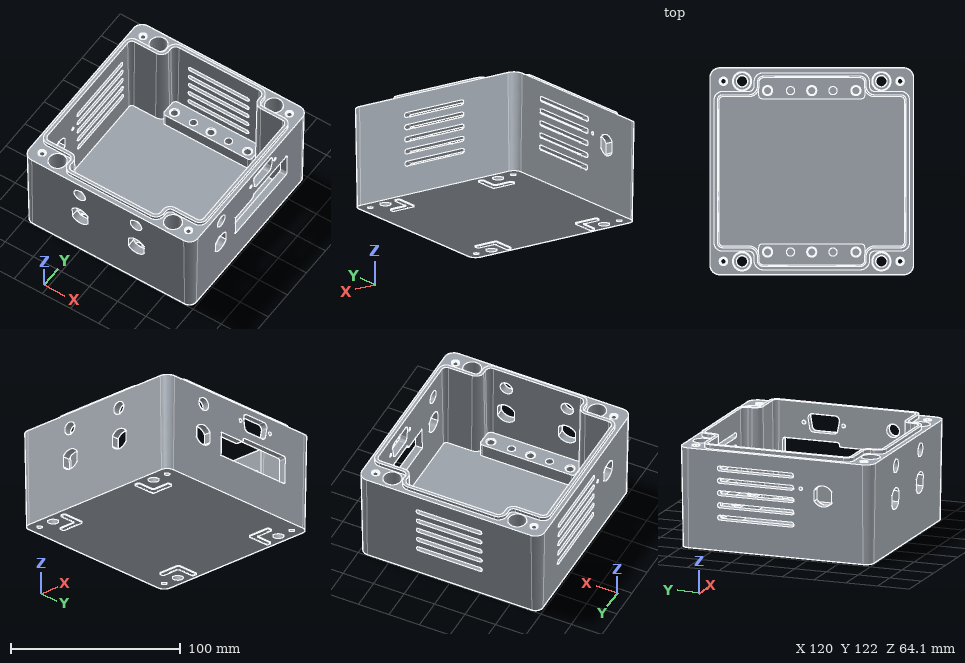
import cadquery as cq
import math

rim_length = 120.0
rim_width = 122.0
body_height = 61.0
rim_corner_radius = 6.0
draft_angle = 1.0
hole_chamfer_angle = 45.0

lip_height = 2.5
lip_wall = 2.0
lip_top = body_height + lip_height

cavity_half_length = 55.5
cavity_half_width = 45.0
lobe_half_length = 32.0
lobe_half_width = 56.0
cavity_corner_radius = 3.0
lobe_corner_radius = 3.5
neck_radius = 5.0
corner_pick_reach = 1.0
floor_thickness = 4.0

cover_screw_x = 52.0
cover_screw_y = 53.0
cover_screw_diameter = 3.24
cover_screw_mouth_diameter = 4.92
cover_screw_recess_diameter = 4.4
cover_screw_recess_depth = 1.0
mount_x = 41.0
mount_y = 53.0
mount_hole_diameter = 6.5
mount_well_diameter = 11.2
mount_well_floor = floor_thickness
mount_well_draft = 0.5

pad_half_length = 31.2
pad_inner_y = 42.7
pad_height = 8.8
pad_corner_radius = 2.0
pad_top = floor_thickness + pad_height
pad_hole_y = 47.5
pad_hole_depth = 8.0
pad_hole_diameter = 4.8
pad_hole_mouth_diameter = 5.9
pad_chamfered_hole_pitch = 26.0
pad_plain_hole_x = 12.5

foot_height = 0.6
foot_inner_x = 28.6
foot_inner_y = 40.6
foot_length = 15.8
foot_arm_width = 3.5
foot_fillet = 1.0

wall_cut_depth = 10.0
gland_diameter = 12.8
gland_flat_width = 11.0
gland_drop = 29.7
side_gland_drop = 21.7
round_hole_diameter = 8.0
round_hole_drop = 9.75
front_opening_x = 20.0
side_opening_y = -30.0
led_hole_diameter = 2.0
led_hole_y = -16.0
led_hole_drop = 18.25

slot_count = 5
slot_pitch = 7.5
slot_height = 3.0
side_slot_length = 48.0
side_slot_y = 12.5
side_slot_drop = 10.75
back_slot_length = 43.0
back_slot_drop = 11.9

connector_y = 13.75
connector_drop = 9.7
connector_top_length = 20.7
connector_height = 11.0
connector_side_angle = 10.0
connector_radius = 2.6
connector_screw_pitch = 25.0
connector_screw_diameter = 2.21

window_low_y = -14.7
window_high_y = 39.5
window_step_y = 3.8
window_bottom_drop = 37.75
window_top_drop = 20.1
window_step_drop = 22.8
window_radius = 1.3


def mirrored_points(x, y):
    """The four points placed symmetrically about both centre planes."""
    return [(sx * x, sy * y) for sx in (-1, 1) for sy in (-1, 1)]


def facing_down(z):
    """Workplane at height z whose extrusions run downward; its local Y is -Y."""
    return cq.Workplane(cq.Plane((0, 0, z), (1, 0, 0), (0, 0, -1)))


def cavity_outline(offset):
    """Cavity outline at the mouth, grown outward by an offset."""
    half_length = cavity_half_length + offset
    half_width = cavity_half_width + offset
    lobe_x = lobe_half_length + offset
    lobe_y = lobe_half_width + offset
    sketch = cq.Sketch().rect(2 * half_length, 2 * half_width).rect(2 * lobe_x, 2 * lobe_y).clean()
    reach = corner_pick_reach

    def round_corners(x, y, radius):
        for px, py in mirrored_points(x, y):
            low = (px - reach, py - reach, -reach)
            high = (px + reach, py + reach, reach)
            corner = cq.selectors.BoxSelector(low, high)
            sketch.reset().vertices(corner).fillet(radius)

    round_corners(half_length, half_width, cavity_corner_radius + offset)
    round_corners(lobe_x, lobe_y, lobe_corner_radius + offset)
    round_corners(lobe_x, half_width, neck_radius - offset)
    return sketch.reset()


def make_shell():
    """Drafted body with its sealing lip, hollowed by the drafted cavity."""
    outline = cq.Sketch().rect(rim_length, rim_width).vertices().fillet(rim_corner_radius)
    body = facing_down(body_height).placeSketch(outline).extrude(body_height, taper=draft_angle)
    lip = facing_down(lip_top).placeSketch(cavity_outline(lip_wall)).extrude(lip_height)
    cavity_depth = lip_top - floor_thickness
    cavity = facing_down(lip_top).placeSketch(cavity_outline(0)).extrude(cavity_depth, taper=draft_angle)
    return body.union(lip).cut(cavity)


def make_pads():
    """Two mounting pads, each rising from the floor against an end wall."""
    outer_y = lobe_half_width + lip_wall / 2
    pad = (
        cq.Workplane("XY", origin=(0, (pad_inner_y + outer_y) / 2, floor_thickness))
        .box(2 * pad_half_length, outer_y - pad_inner_y, pad_height, centered=(True, True, False))
        .edges("|Z and <Y")
        .fillet(pad_corner_radius)
    )
    return pad.union(pad.mirror("XZ"))


def make_pad_holes():
    """Three chamfered and two plain blind holes in each pad."""
    chamfered = [(i * pad_chamfered_hole_pitch, s * pad_hole_y) for i in (-1, 0, 1) for s in (-1, 1)]
    plain = mirrored_points(pad_plain_hole_x, pad_hole_y)
    top = facing_down(pad_top)
    holes = top.pushPoints(chamfered + plain).circle(pad_hole_diameter / 2).extrude(pad_hole_depth)
    chamfer = (pad_hole_mouth_diameter - pad_hole_diameter) / 2
    mouths = top.pushPoints(chamfered).circle(pad_hole_mouth_diameter / 2)
    mouths = mouths.extrude(chamfer, taper=hole_chamfer_angle)
    return holes.union(mouths)


def make_corner_holes():
    """Stepped and chamfered cover screw holes, and drafted wells over the mounting holes."""
    rim = facing_down(body_height)
    screws = rim.pushPoints(mirrored_points(cover_screw_x, cover_screw_y))
    sink_depth = (cover_screw_mouth_diameter - cover_screw_recess_diameter) / 2
    screw_holes = screws.circle(cover_screw_diameter / 2).extrude(body_height)
    recesses = screws.circle(cover_screw_recess_diameter / 2).extrude(cover_screw_recess_depth)
    sinks = screws.circle(cover_screw_mouth_diameter / 2).extrude(sink_depth, taper=hole_chamfer_angle)
    mounts = rim.pushPoints(mirrored_points(mount_x, mount_y))
    mount_holes = mounts.circle(mount_hole_diameter / 2).extrude(body_height)
    well_depth = body_height - mount_well_floor
    wells = mounts.circle(mount_well_diameter / 2).extrude(well_depth, taper=mount_well_draft)
    return screw_holes.union(recesses).union(sinks).union(mount_holes).union(wells)


def make_feet():
    """Four L-shaped feet, each open towards its outer corner."""
    arm = foot_arm_width
    end = foot_length
    corners = [(0, 0), (end, 0), (end, arm), (arm, arm), (arm, end), (0, end)]
    foot = (
        cq.Workplane("XY", origin=(foot_inner_x, foot_inner_y, -foot_height))
        .polyline(corners)
        .close()
        .extrude(foot_height)
        .edges("|Z")
        .fillet(foot_fillet)
    )
    pair = foot.union(foot.mirror("YZ"))
    return pair.union(pair.mirror("XZ"))


def x_wall_cut(outline, side, y, drop):
    """Cutter through the +X or -X wall (side = 1 or -1), placed along Y and below the rim."""
    plane = cq.Workplane("YZ", origin=(side * rim_length / 2, y, body_height - drop))
    return plane.placeSketch(outline).extrude(-side * wall_cut_depth)


def y_wall_cut(outline, side, x, drop):
    """Cutter through the +Y or -Y wall (side = 1 or -1), placed along X and below the rim."""
    plane = cq.Workplane("XZ", origin=(x, side * rim_width / 2, body_height - drop))
    return plane.placeSketch(outline).extrude(side * wall_cut_depth)


def round_outline(diameter):
    return cq.Sketch().circle(diameter / 2)


def gland_outline():
    """Upright circle with a flat on each side."""
    return round_outline(gland_diameter).rect(gland_flat_width, gland_diameter, mode="i")


def slot_outline(length):
    """Slot with fully round ends."""
    return cq.Sketch().slot(length - slot_height, slot_height)


def connector_outline():
    """Rounded trapezoid, narrower at the bottom."""
    half_top = connector_top_length / 2
    half_bottom = half_top - connector_height * math.tan(math.radians(connector_side_angle))
    top = connector_height / 2
    corners = [(-half_bottom, -top), (half_bottom, -top), (half_top, top), (-half_top, top)]
    return cq.Sketch().polygon(corners + corners[:1]).vertices().fillet(connector_radius)


def window_outline():
    """Window whose top edge steps down on the -Y part; the origin lies on the rim at Y = 0.

    The two corners at the -Y end stay sharp.
    """
    corners = [
        (window_low_y, -window_bottom_drop),
        (window_high_y, -window_bottom_drop),
        (window_high_y, -window_top_drop),
        (window_step_y, -window_top_drop),
        (window_step_y, -window_step_drop),
        (window_low_y, -window_step_drop),
    ]
    outline = cq.Sketch().polygon(corners + corners[:1])
    return outline.vertices("not <X").fillet(window_radius)


def make_wall_openings():
    """Every opening in the four side walls."""
    gland = gland_outline()
    round_hole = round_outline(round_hole_diameter)
    cuts = []

    for x in (-front_opening_x, front_opening_x):
        cuts.append(y_wall_cut(round_hole, -1, x, round_hole_drop))
        cuts.append(y_wall_cut(gland, -1, x, gland_drop))

    for i in range(slot_count):
        slot_offset = i * slot_pitch
        cuts.append(x_wall_cut(slot_outline(side_slot_length), -1, side_slot_y, side_slot_drop + slot_offset))
        cuts.append(y_wall_cut(slot_outline(back_slot_length), 1, 0, back_slot_drop + slot_offset))

    cuts.append(x_wall_cut(gland, -1, side_opening_y, side_gland_drop))
    cuts.append(x_wall_cut(round_outline(led_hole_diameter), -1, led_hole_y, led_hole_drop))

    cuts.append(x_wall_cut(round_hole, 1, side_opening_y, round_hole_drop))
    cuts.append(x_wall_cut(gland, 1, side_opening_y, gland_drop))
    cuts.append(x_wall_cut(connector_outline(), 1, connector_y, connector_drop))
    for side in (-1, 1):
        screw_y = connector_y + side * connector_screw_pitch / 2
        cuts.append(x_wall_cut(round_outline(connector_screw_diameter), 1, screw_y, connector_drop))
    cuts.append(x_wall_cut(window_outline(), 1, 0, 0))
    return cuts


enclosure = make_shell().union(make_pads()).union(make_feet())
enclosure = enclosure.cut(make_pad_holes()).cut(make_corner_holes())
for opening in make_wall_openings():
    enclosure = enclosure.cut(opening)

result = enclosure